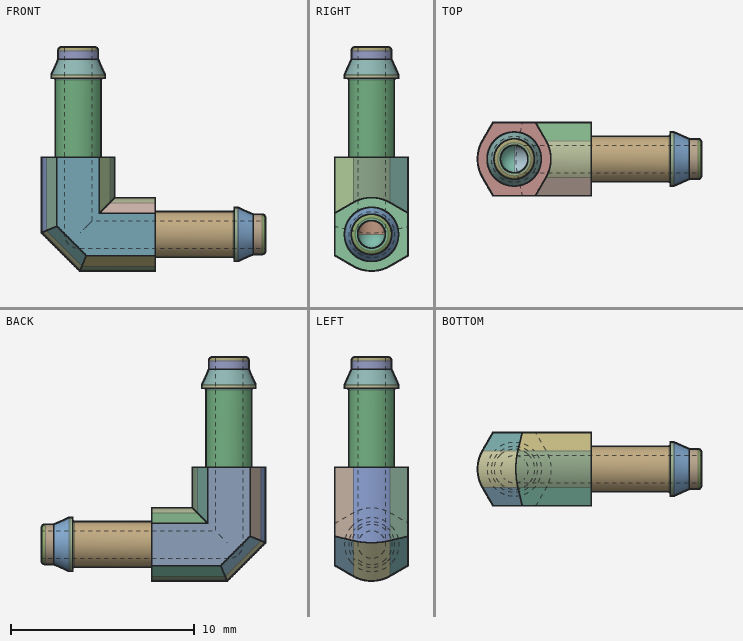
import cadquery as cq
import math


body_width = 4.0
body_leg = 4.2
facet_angle = 60
corner_axis_offset = 0.65

tail_reach = 10.2
tube_diameter = 2.5
barb_diameter = 2.95
tip_diameter = 2.2
bore_diameter = 1.5
tip_land = 0.67
cone_length = 0.84
rim_length = 0.2
tip_round = 0.2
barb_round = 0.1
barb_root_fillet = 0.07

body_radius = body_width / 2
tangent_x = body_radius * math.sin(math.radians(facet_angle))
tangent_y = body_radius * math.cos(math.radians(facet_angle))
flat_half = body_radius / math.tan(math.radians(facet_angle))
bore_radius = bore_diameter / 2
match_tolerance = 0.001

x_axis = cq.Vector(1, 0, 0)
z_axis = cq.Vector(0, 0, 1)
outward_diagonal = cq.Vector(-1, 0, -1).normalized()


def outer_prism(start, end, inward, inner_reach):
    """Prism from start to end with the body's faceted, rounded side facing away from inward."""
    plane = cq.Plane(origin=start.toTuple(), xDir=inward.toTuple(), normal=(end - start).toTuple())
    return (
        cq.Workplane(plane)
        .moveTo(inner_reach, -body_radius)
        .lineTo(inner_reach, body_radius)
        .lineTo(-flat_half, body_radius)
        .lineTo(-tangent_x, tangent_y)
        .threePointArc((-body_radius, 0), (-tangent_x, -tangent_y))
        .lineTo(-flat_half, -body_radius)
        .close()
        .extrude((end - start).Length)
    )


def make_body():
    """Elbow body: outer shell shaped by three mitred prisms, inner corner by two more."""
    beyond_body = 2 * (body_radius + body_leg)
    outer_z = outer_prism(z_axis * -body_radius, z_axis * body_leg, x_axis, body_leg)
    outer_x = outer_prism(x_axis * -body_radius, x_axis * body_leg, z_axis, body_leg)
    corner_middle = outward_diagonal * -corner_axis_offset
    along_corner = cq.Vector(1, 0, -1).normalized() * beyond_body
    corner = outer_prism(
        corner_middle - along_corner, corner_middle + along_corner, outward_diagonal * -1, beyond_body
    )
    inner_z = outer_prism(z_axis * -body_radius, z_axis * body_leg, x_axis * -1, body_radius)
    inner_x = outer_prism(x_axis * -body_radius, x_axis * body_leg, z_axis * -1, body_radius)
    return outer_z.intersect(outer_x).intersect(corner).intersect(inner_z.union(inner_x))


def round_ring(tail, direction, height, diameter, radius):
    """Round the circular edge of the given diameter at height along the tail."""
    def is_ring(edge):
        if edge.geomType() != "CIRCLE":
            return False
        at_height = abs(edge.Center().dot(direction) - height) < match_tolerance
        right_size = abs(edge.radius() - diameter / 2) < match_tolerance
        return at_height and right_size

    return tail.newObject([edge for edge in tail.edges().vals() if is_ring(edge)]).fillet(radius)


def make_tail(direction):
    """Barbed tail from the origin along direction, revolved around its own axis."""
    cone_start = tail_reach - tip_land
    rim_start = cone_start - cone_length
    barb_back = rim_start - rim_length
    tube_radius = tube_diameter / 2
    barb_radius = barb_diameter / 2
    tip_radius = tip_diameter / 2
    side = cq.Vector(0, 1, 0)
    plane = cq.Plane(origin=(0, 0, 0), xDir=side.toTuple(), normal=side.cross(direction).toTuple())
    tail = (
        cq.Workplane(plane)
        .lineTo(tube_radius, 0)
        .lineTo(tube_radius, barb_back)
        .lineTo(barb_radius, barb_back)
        .lineTo(barb_radius, rim_start)
        .lineTo(tip_radius, cone_start)
        .lineTo(tip_radius, tail_reach)
        .lineTo(0, tail_reach)
        .close()
        .revolve(360, (0, 0), (0, 1))
    )
    tail = round_ring(tail, direction, tail_reach, tip_diameter, tip_round)
    tail = round_ring(tail, direction, rim_start, barb_diameter, barb_round)
    return round_ring(tail, direction, barb_back, tube_diameter, barb_root_fillet)


def make_bore():
    """Two bores meeting in a ball-shaped corner at the origin."""
    bore = cq.Workplane("XY").sphere(bore_radius)
    for direction in (x_axis, z_axis):
        drill = cq.Solid.makeCylinder(bore_radius, tail_reach, cq.Vector(0, 0, 0), direction)
        bore = bore.union(cq.Workplane(drill))
    return bore


body = make_body()
for leg_direction in (x_axis, z_axis):
    body = body.union(make_tail(leg_direction))
result = body.cut(make_bore()).solids()